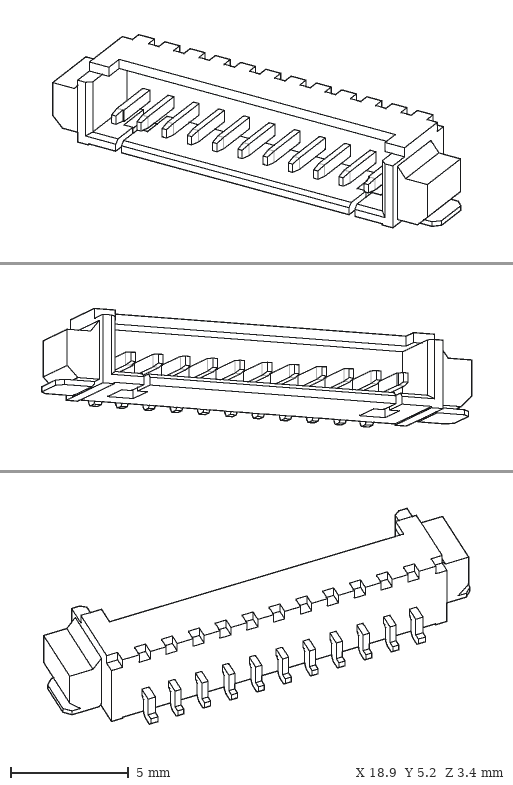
import cadquery as cq


total_length = 18.9
total_depth = 5.2
total_height = 3.4

body_length = 15.57
body_depth = 4.23
standoff = 0.05
corner_foot_width = 0.53
wall_top = 2.97
roof_setback = 0.98
roof_cutout_length = 13.65
roof_cutout_depth = 1.83

cavity_length = 14.3
cavity_depth = 3.06
floor_top = 0.57
mouth_bevel_side = 0.25
mouth_bevel_floor = 0.17
mouth_bevel_depth = 0.19

slit_center = 5.76
slit_width = 0.28
window_width = 1.17
window_front = 1.44

notch_width = 0.51
notch_depth = 0.51

pin_count = 11
pin_pitch = 1.25
pin_width = 0.28
end_pin_extra_width = 0.05
blade_bottom = 1.04
blade_height = 0.55
blade_front = 0.4
tip_length = 0.51
tip_inset_side = 0.04
tip_inset_height = 0.08
tail_bottom = 0.98
tail_top = 1.36
tail_gap = 0.17
tail_leg_outer = 0.68
tail_foot_top = 0.45
tail_bevel = 0.17
tail_bend_bevel = 0.1
tail_embed = 0.38

wing_overhang = 1.47
wing_front = 0.4
wing_back = 3.18
wing_bottom = 0.23
wing_top = 2.29
wing_ramp_width = 0.4
wing_ramp_height = 0.5
wing_bevel = 0.5
tab_front = 0.96
tab_bevel = 0.3
tab_root_bevel = 0.11
tab_embed = 0.19

half_body = body_length / 2
half_row = pin_pitch * (pin_count - 1) / 2
pin_positions = [i * pin_pitch - half_row for i in range(pin_count)]


def block(x0, x1, y0, y1, z0, z1):
    """Box between two opposite corners."""
    return cq.Workplane("XY").box(x1 - x0, y1 - y0, z1 - z0, centered=False).translate((x0, y0, z0))


def centered_block(x, width, y0, y1, z0, z1):
    """Box of the given width centred on x."""
    return block(x - width / 2, x + width / 2, y0, y1, z0, z1)


def both_ends(shape):
    """A shape together with its mirror image at the other end of the row."""
    return shape.union(shape.mirror("YZ"))


def make_mouth_bevel():
    """Tapered lead-in from the mating face to the sides and floor of the cavity."""
    height = wall_top - floor_top
    mouth_length = cavity_length + 2 * mouth_bevel_side
    mouth_height = height + mouth_bevel_floor
    return (
        cq.Workplane("XZ")
        .center(0, wall_top - mouth_height / 2)
        .rect(mouth_length, mouth_height)
        .workplane(offset=-mouth_bevel_depth)
        .center(0, mouth_bevel_floor / 2)
        .rect(cavity_length, height)
        .loft(ruled=True)
    )


def make_floor_opening():
    """Slit from the mating face leading to a wider window centred on it."""
    slit = centered_block(slit_center, slit_width, 0, window_front, 0, floor_top)
    window = centered_block(slit_center, window_width, window_front, cavity_depth, 0, floor_top)
    return both_ends(slit.union(window))


def make_housing():
    body = centered_block(0, body_length, 0, body_depth, 0, total_height)
    body = body.cut(centered_block(0, body_length - 2 * corner_foot_width, 0, body_depth, 0, standoff))
    body = body.cut(centered_block(0, cavity_length, 0, cavity_depth, floor_top, wall_top))
    body = body.cut(make_mouth_bevel())
    body = body.cut(make_floor_opening())
    body = body.cut(centered_block(0, body_length, 0, roof_setback, wall_top, total_height))
    body = body.cut(centered_block(0, roof_cutout_length, 0, roof_cutout_depth, wall_top, total_height))

    corner = half_body - notch_width / 2
    for x in [-corner, *pin_positions, corner]:
        notch = centered_block(x, notch_width, body_depth - notch_depth, body_depth, wall_top, total_height)
        body = body.cut(notch)
    return body


def make_blade(x):
    """Contact inside the cavity, tapered on all four sides at its tip."""
    tip_base = blade_front + tip_length
    shank = centered_block(
        x, pin_width, tip_base, cavity_depth + tail_embed, blade_bottom, blade_bottom + blade_height
    )
    tip = (
        shank.faces("<Y").workplane(centerOption="CenterOfMass")
        .rect(pin_width, blade_height)
        .workplane(offset=tip_length)
        .rect(pin_width - 2 * tip_inset_side, blade_height - 2 * tip_inset_height)
        .loft(ruled=True, combine=False)
    )
    return shank.union(tip)


def make_tail(x, width):
    """Gull-wing lead behind the housing, bent down to the board plane."""
    root = body_depth - tail_embed
    leg_inner = body_depth + tail_gap
    leg_outer = body_depth + tail_leg_outer
    outline = [
        (root, tail_top),
        (leg_outer, tail_top),
        (leg_outer, tail_foot_top),
        (total_depth, tail_foot_top),
        (total_depth, tail_bevel),
        (total_depth - tail_bevel, 0),
        (leg_inner + tail_bevel, 0),
        (leg_inner, tail_bevel),
        (leg_inner, tail_bottom - tail_bend_bevel),
        (leg_inner - tail_bend_bevel, tail_bottom),
        (root, tail_bottom),
    ]
    return cq.Workplane("YZ").polyline(outline).close().extrude(width).translate((x - width / 2, 0, 0))


def make_end_pin_flank():
    """Extra thickness on the inner side of the first and last pins."""
    outer = half_row - pin_width / 2
    inner = outer - end_pin_extra_width
    blade = block(
        inner, outer, blade_front + tip_length, cavity_depth + tail_embed,
        blade_bottom, blade_bottom + blade_height,
    )
    tail = make_tail((inner + outer) / 2, end_pin_extra_width)
    return both_ends(blade.union(tail))


def make_wing():
    """Side block with a sloped root on top and a bevelled lower outer edge."""
    outer = half_body + wing_overhang
    outline = [
        (half_body, wing_bottom),
        (outer - wing_bevel, wing_bottom),
        (outer, wing_bottom + wing_bevel),
        (outer, wing_top),
        (half_body + wing_ramp_width, wing_top),
        (half_body, wing_top + wing_ramp_height),
    ]
    return (
        cq.Workplane("XZ", origin=(0, wing_back, 0))
        .polyline(outline).close().extrude(wing_back - wing_front)
    )


def make_solder_tab():
    """Flat foot under the wing, with clipped outer corners, entering the housing side."""
    foot = block(half_body, total_length / 2, tab_front, wing_back, 0, wing_bottom)
    foot = foot.edges("|Z and >X").chamfer(tab_bevel)
    foot = foot.edges("<X and <Z").chamfer(tab_root_bevel)
    root = block(half_body - tab_embed, half_body, tab_front, wing_back, tab_root_bevel, wing_bottom)
    return foot.union(root)


result = make_housing()
result = result.union(both_ends(make_wing().union(make_solder_tab())))
for pin_x in pin_positions:
    result = result.union(make_blade(pin_x))
    result = result.union(make_tail(pin_x, pin_width))
result = result.union(make_end_pin_flank())